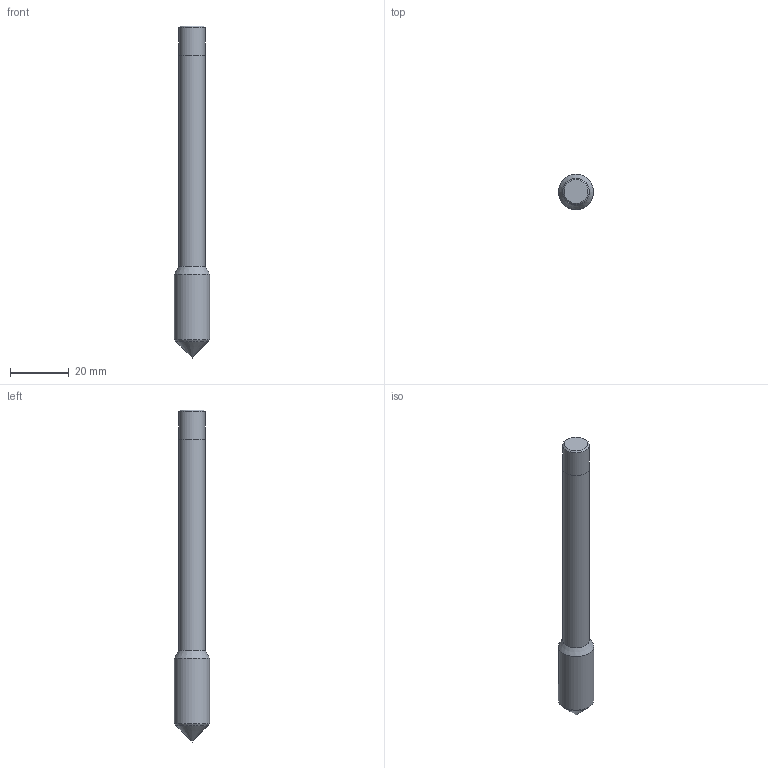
import cadquery as cq

total_length = 112.78
head_diameter = 12.0
shank_diameter = 9.0
cap_length = 10.0
cap_chamfer = 0.5
shoulder_top = 31.1
shoulder_height = 2.6
bevel_inset = 0.42
bevel_height = 0.62

head_radius = head_diameter / 2
shank_radius = shank_diameter / 2
cap_bottom = total_length - cap_length
shoulder_bottom = shoulder_top - shoulder_height
tip_radius = head_radius - bevel_inset
tip_height = tip_radius
head_bottom = tip_height + bevel_height


def make_punch():
    """Turned body: conical tip, bevelled thick head, sloped shoulder and slim shank."""
    return (
        cq.Workplane("XZ")
        .moveTo(0, 0)
        .lineTo(tip_radius, tip_height)
        .lineTo(head_radius, head_bottom)
        .lineTo(head_radius, shoulder_bottom)
        .lineTo(shank_radius, shoulder_top)
        .lineTo(shank_radius, cap_bottom)
        .lineTo(0, cap_bottom)
        .close()
        .revolve(360, (0, 0, 0), (0, 1, 0))
    )


def make_cap():
    """End cap flush with the shank, with a chamfered top rim."""
    return (
        cq.Workplane("XY")
        .workplane(offset=cap_bottom)
        .circle(shank_radius)
        .extrude(cap_length)
        .faces(">Z")
        .edges()
        .chamfer(cap_chamfer)
    )


punch = make_punch()
cap = make_cap()

result = cq.Compound.makeCompound([punch.val(), cap.val()])